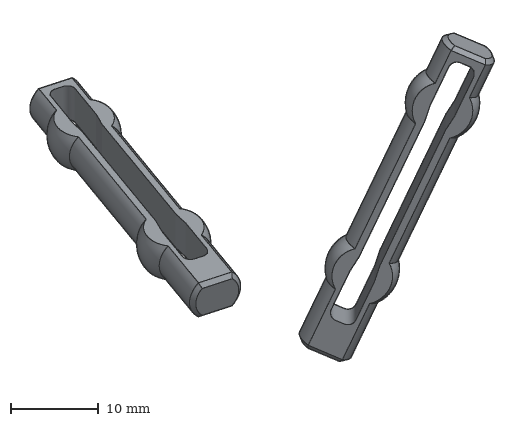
import cadquery as cq

length = 40.6
bar_radius = 3.3
height = 5.0
end_chamfer = 0.53

slot_start = 1.45
slot_end = 36.05
slot_middle = (slot_start + slot_end) / 2
wide_slot_width = 3.1
narrow_slot_width = 2.6
taper_length = 2.0
slot_corner_radius = 1.0

ball_radius = 4.25
ball_spacing = 22.2
ball_positions = (slot_middle - ball_spacing / 2, slot_middle + ball_spacing / 2)


def flatten(body):
    """Trim a body to the flat top and bottom of the bar."""
    slab = cq.Workplane("XY").box(2 * length, 4 * ball_radius, height)
    return body.intersect(slab)


def make_bar():
    """Flattened cylinder, chamfered all round at both end faces."""
    cylinder = cq.Workplane("YZ").circle(bar_radius).extrude(length)
    return flatten(cylinder).faces("<X or >X").edges().chamfer(end_chamfer)


def make_ball(position):
    """Flattened sphere on the bar axis."""
    return flatten(cq.Workplane("XY").sphere(ball_radius)).translate((position, 0, 0))


def make_slot():
    """Cutter with tapers running inward from the ball centres."""
    wide = wide_slot_width / 2
    narrow = narrow_slot_width / 2
    left_ball, right_ball = ball_positions
    upper_side = [
        (slot_start, wide),
        (left_ball, wide),
        (left_ball + taper_length, narrow),
        (right_ball - taper_length, narrow),
        (right_ball, wide),
        (slot_end, wide),
    ]
    lower_side = [(x, -y) for x, y in reversed(upper_side)]
    cutter = cq.Workplane("XY").polyline(upper_side + lower_side).close().extrude(height, both=True)
    return cutter.faces("<X or >X").edges("|Z").fillet(slot_corner_radius)


result = make_bar()
for ball_position in ball_positions:
    result = result.union(make_ball(ball_position))
result = result.cut(make_slot())